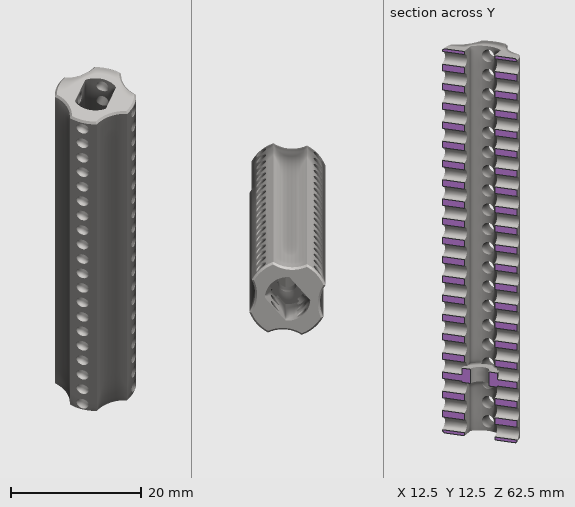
import cadquery as cq
import math

length = 62.5
outer_diameter = 12.5
outer_radius = outer_diameter / 2
lobe_half_width = 2.2
flute_floor_radius = 5.0
end_chamfer = 0.3
lobe_count = 4

cross_hole_diameter = 2.0
cross_hole_count = 20
cross_hole_pitch = length / cross_hole_count

bore_diameter = 7.0
bore_width = 5.0
web_bottom = 8.6
web_top = 11.0
web_core_diameter = 6.0
web_hole_diameter = 3.0


def polar(radius, angle):
    """Point at the given radius and angle in degrees."""
    return (radius * math.cos(math.radians(angle)), radius * math.sin(math.radians(angle)))


def lobed_body():
    """Prism with four convex lobes joined by concave flutes, chamfered at both ends."""
    lobe_half_angle = math.degrees(math.asin(lobe_half_width / outer_radius))
    lobe_step = 360 / lobe_count
    outline = cq.Workplane("XY").moveTo(*polar(outer_radius, -lobe_half_angle))
    for index in range(lobe_count):
        lobe_angle = index * lobe_step
        lobe_end = polar(outer_radius, lobe_angle + lobe_half_angle)
        flute_floor = polar(flute_floor_radius, lobe_angle + lobe_step / 2)
        flute_end = polar(outer_radius, lobe_angle + lobe_step - lobe_half_angle)
        outline = outline.threePointArc(polar(outer_radius, lobe_angle), lobe_end)
        outline = outline.threePointArc(flute_floor, flute_end)
    body = outline.close().extrude(length)
    return body.faces("<Z or >Z").chamfer(end_chamfer)


def double_d(bottom, top):
    """Round bar with two flats facing +X and -X."""
    height = top - bottom
    bar = cq.Workplane("XY").workplane(offset=bottom).circle(bore_diameter / 2).extrude(height)
    flats = cq.Workplane("XY").workplane(offset=bottom).rect(bore_width, bore_diameter).extrude(height)
    return bar.intersect(flats)


def cross_holes(plane):
    """Evenly spaced row of through-hole cutters normal to a vertical plane."""
    centers = [(0, (index + 0.5) * cross_hole_pitch) for index in range(cross_hole_count)]
    return (
        cq.Workplane(plane)
        .pushPoints(centers)
        .circle(cross_hole_diameter / 2)
        .extrude(outer_radius, both=True)
    )


def web_core():
    """Solid core of the web that the cross holes do not enter."""
    base = cq.Workplane("XY").workplane(offset=web_bottom)
    return base.circle(web_core_diameter / 2).extrude(web_top - web_bottom)


def web_hole():
    """Round passage along Z through the web."""
    return cq.Workplane("XY").circle(web_hole_diameter / 2).extrude(length)


tube = lobed_body().cut(double_d(0, web_bottom)).cut(double_d(web_top, length))
for plane in ("XZ", "YZ"):
    tube = tube.cut(cross_holes(plane).cut(web_core()))
result = tube.cut(web_hole())